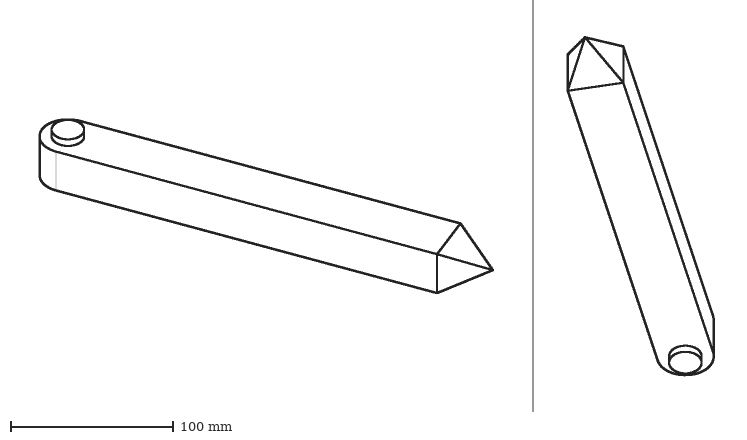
import cadquery as cq

total_length = 305.0
arm_width = 35.0
arm_height = 30.0
tip_length = 30.0
pin_diameter = 20.0
pin_height = 40.0

end_radius = arm_width / 2
tip_x = total_length - end_radius
tip_base_x = tip_x - tip_length


def make_arm():
    """Straight bar with a full round at the pin end."""
    return (
        cq.Workplane("XY")
        .workplane(offset=-arm_height / 2)
        .moveTo(0, -end_radius)
        .lineTo(tip_base_x, -end_radius)
        .lineTo(tip_base_x, end_radius)
        .lineTo(0, end_radius)
        .threePointArc((-end_radius, 0), (0, -end_radius))
        .close()
        .extrude(arm_height)
    )


def make_tip():
    """Four-sided pyramid on the end face of the arm, with its apex on the arm axis."""
    half_height = arm_height / 2
    corners = [
        cq.Vector(tip_base_x, y, z)
        for y, z in (
            (-end_radius, -half_height),
            (end_radius, -half_height),
            (end_radius, half_height),
            (-end_radius, half_height),
        )
    ]
    apex = cq.Vector(tip_x, 0, 0)
    faces = [cq.Face.makeFromWires(cq.Wire.makePolygon(corners, close=True))]
    for start, end in zip(corners, corners[1:] + corners[:1]):
        side = cq.Wire.makePolygon([start, end, apex], close=True)
        faces.append(cq.Face.makeFromWires(side))
    return cq.Workplane(cq.Solid.makeSolid(cq.Shell.makeShell(faces)))


def make_pin():
    """Round pin standing out equally above and below the arm."""
    return cq.Workplane("XY").circle(pin_diameter / 2).extrude(pin_height / 2, both=True)


result = make_arm().union(make_tip()).union(make_pin())